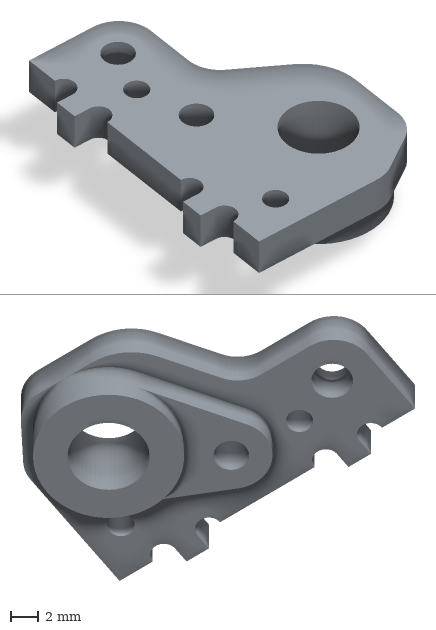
import cadquery as cq
import math

WIDTH = 26.5
PLATE_THICKNESS = 3.0
SHOULDER_Y = 9.0
SLOPE_FOOT_X = 8.98
SLOPE_TOP_X = 14.02
BEVEL_TOP_X = 23.21
BEVEL_FOOT_Y = 12.0
CORNER_RADIUS = 3.0
PEAK_RADIUS = 5.0

TAB_CENTERS_X = (6.0, 20.5)
TAB_LENGTH = 1.43
NOTCH_RADIUS = 1.0

BORE_X = 19.2
BORE_Y = 11.55
BORE_DIAMETER = 6.0
PIVOT_X = 12.5
PIVOT_Y = 5.55
LEFT_HOLE_X = 3.47
PIVOT_DIAMETER = 2.6
RECESS_DIAMETER = 3.05
RECESS_DEPTH = 2.0
PIN_HOLE_XS = (7.5, 23.5)
PIN_HOLE_Y = 4.0
PIN_HOLE_DIAMETER = 2.0

BORE_BOSS_RADIUS = 5.5
PIVOT_BOSS_RADIUS = 3.0
ARM_HEIGHT = 2.0
COLLAR_HEIGHT = 1.5

DEPTH = BORE_Y + BORE_BOSS_RADIUS
BOSS_HEIGHT = ARM_HEIGHT + COLLAR_HEIGHT
TOTAL_HEIGHT = PLATE_THICKNESS + BOSS_HEIGHT


def round_corner(body, corner, radius):
    """Round the vertical edge standing at an XY corner."""
    edge = cq.selectors.NearestToPointSelector((*corner, PLATE_THICKNESS / 2))
    return body.edges("|Z").edges(edge).fillet(radius)


def make_plate():
    shoulder = (0, SHOULDER_Y)
    slope_foot = (SLOPE_FOOT_X, SHOULDER_Y)
    slope_top = (SLOPE_TOP_X, DEPTH)
    bevel_top = (BEVEL_TOP_X, DEPTH)
    bevel_foot = (WIDTH, BEVEL_FOOT_Y)
    outline = [(0, 0), shoulder, slope_foot, slope_top, bevel_top, bevel_foot, (WIDTH, 0)]
    plate = cq.Workplane("XY").polyline(outline).close().extrude(PLATE_THICKNESS)
    for corner in (shoulder, slope_foot, bevel_top, bevel_foot):
        plate = round_corner(plate, corner, CORNER_RADIUS)
    return round_corner(plate, slope_top, PEAK_RADIUS)


def add_tab(plate, center_x):
    """Add a front tab and cut the notch on each side of it."""
    tab = (
        cq.Workplane("XY")
        .box(2 * NOTCH_RADIUS, 2 * TAB_LENGTH, PLATE_THICKNESS, centered=(True, True, False))
        .translate((center_x, 0, 0))
    )
    notch_centers = [(center_x + side * 2 * NOTCH_RADIUS, 0) for side in (-1, 1)]
    notches = (
        cq.Workplane("XY").pushPoints(notch_centers).circle(NOTCH_RADIUS).extrude(PLATE_THICKNESS)
    )
    return plate.union(tab).cut(notches)


def make_arm():
    """Arm wrapped around the pivot and bore bosses, with tangent sides."""
    run_x = BORE_X - PIVOT_X
    run_y = BORE_Y - PIVOT_Y
    heading = math.atan2(run_y, run_x)
    spread = math.acos((PIVOT_BOSS_RADIUS - BORE_BOSS_RADIUS) / math.hypot(run_x, run_y))

    def pivot_point(angle):
        return (PIVOT_X + PIVOT_BOSS_RADIUS * math.cos(angle),
                PIVOT_Y + PIVOT_BOSS_RADIUS * math.sin(angle))

    def bore_point(angle):
        return (BORE_X + BORE_BOSS_RADIUS * math.cos(angle),
                BORE_Y + BORE_BOSS_RADIUS * math.sin(angle))

    return (
        cq.Workplane("XY")
        .moveTo(*pivot_point(heading - spread))
        .lineTo(*bore_point(heading - spread))
        .threePointArc(bore_point(heading), bore_point(heading + spread))
        .lineTo(*pivot_point(heading + spread))
        .threePointArc(pivot_point(heading + math.pi), pivot_point(heading - spread))
        .close()
        .extrude(-ARM_HEIGHT)
    )


def make_holes(centers, diameter):
    """Cylinders that pass through the plate and the bosses."""
    return (
        cq.Workplane("XY", origin=(0, 0, -BOSS_HEIGHT))
        .pushPoints(centers)
        .circle(diameter / 2)
        .extrude(TOTAL_HEIGHT)
    )


body = make_plate()
for tab_x in TAB_CENTERS_X:
    body = add_tab(body, tab_x)

bore_boss = (
    cq.Workplane("XY").center(BORE_X, BORE_Y).circle(BORE_BOSS_RADIUS).extrude(-BOSS_HEIGHT)
)
body = body.union(make_arm()).union(bore_boss)

body = body.cut(make_holes([(BORE_X, BORE_Y)], BORE_DIAMETER))
body = body.cut(make_holes([(PIVOT_X, PIVOT_Y), (LEFT_HOLE_X, PIVOT_Y)], PIVOT_DIAMETER))
body = body.cut(make_holes([(x, PIN_HOLE_Y) for x in PIN_HOLE_XS], PIN_HOLE_DIAMETER))

left_recess = (
    cq.Workplane("XY").center(LEFT_HOLE_X, PIVOT_Y).circle(RECESS_DIAMETER / 2).extrude(RECESS_DEPTH)
)
body = body.cut(left_recess)

result = body